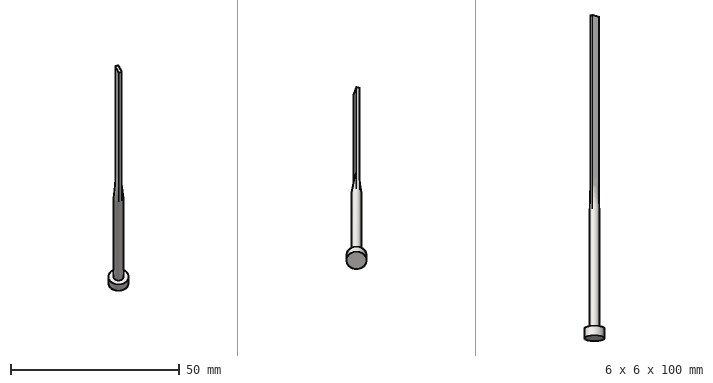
import cadquery as cq
import math

total_length = 100.0
head_diameter = 6.0
head_height = 3.0
shank_diameter = 3.0
shank_top = 40.0
blade_start = 50.0
blade_width = 2.8
blade_thickness = 1.0

shank_radius = shank_diameter / 2
half_width = blade_width / 2
half_thickness = blade_thickness / 2


def make_round_section(height):
    """Shank circle split into four arcs, one facing each side of the blade."""
    corner_angle = math.atan2(half_thickness, half_width)
    split_angles = [corner_angle, math.pi - corner_angle, math.pi + corner_angle, 2 * math.pi - corner_angle]
    end_angles = split_angles[1:] + [2 * math.pi + corner_angle]

    def point_at(angle):
        return cq.Vector(shank_radius * math.cos(angle), shank_radius * math.sin(angle), height)

    arcs = [
        cq.Edge.makeThreePointArc(point_at(start), point_at((start + end) / 2), point_at(end))
        for start, end in zip(split_angles, end_angles)
    ]
    return cq.Wire.assembleEdges(arcs)


def make_blade_section(height):
    """Blade rectangle, with corners in the same order as the shank arcs."""
    corners = [
        cq.Vector(half_width, half_thickness, height),
        cq.Vector(-half_width, half_thickness, height),
        cq.Vector(-half_width, -half_thickness, height),
        cq.Vector(half_width, -half_thickness, height),
    ]
    return cq.Wire.makePolygon(corners, close=True)


head = cq.Workplane("XY").circle(head_diameter / 2).extrude(head_height)
shank = cq.Workplane("XY").circle(shank_radius).extrude(shank_top)

transition = cq.Solid.makeLoft([make_round_section(shank_top), make_blade_section(blade_start)], True)

blade = (
    cq.Workplane("XY")
    .workplane(offset=blade_start)
    .rect(blade_width, blade_thickness)
    .extrude(total_length - blade_start)
)

result = head.union(shank).union(cq.Workplane(obj=transition)).union(blade)